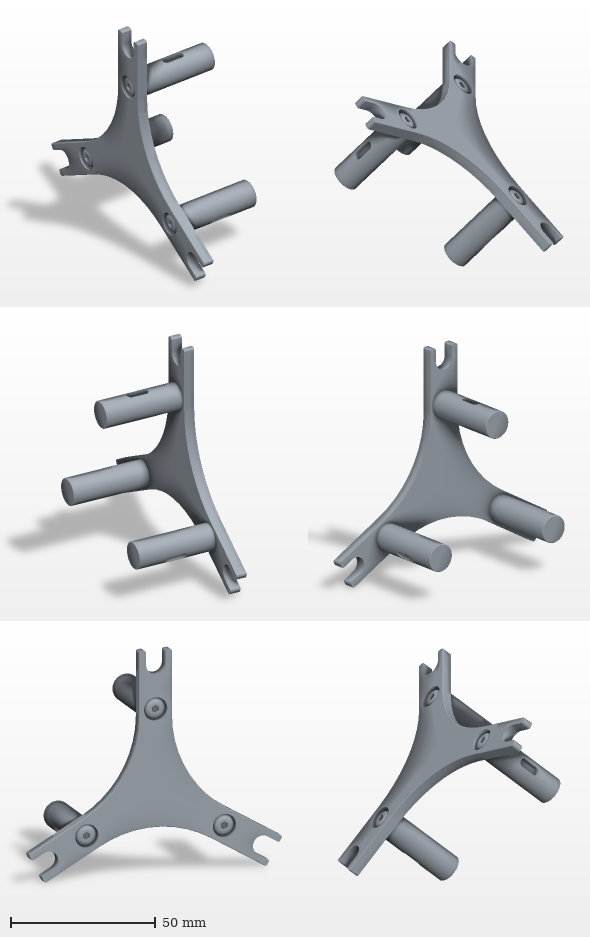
import cadquery as cq
import math

ARM_COUNT = 3
ARM_REACH = 50.0
ARM_WIDTH = 12.0
PLATE_THICKNESS = 4.0
WEB_RADIUS = 40.0
TIP_CHAMFER = 0.5
EDGE_CHAMFER = 0.2

NOTCH_WIDTH = 7.0
NOTCH_CENTRE_DEPTH = 5.0

MOUNT_RADIUS = 29.0
OVERALL_DEPTH = 33.6
POST_DIAMETER = 10.0
POST_LENGTH = OVERALL_DEPTH - PLATE_THICKNESS
POST_CHAMFER = 0.2
POST_SLOT_WIDTH = 3.0
POST_SLOT_LENGTH = 8.4
POST_SLOT_CENTRE = 15.2
POST_SLOT_DEPTH = 2.0

HEAD_DIAMETER = 7.6
HEAD_HEIGHT = 2.2
HEAD_ROUNDING = 1.9
SOCKET_ACROSS_FLATS = 2.5
SOCKET_DEPTH = 1.3
SHANK_DIAMETER = 4.0
SHANK_LENGTH = 10.0
COUNTERBORE_DIAMETER = 8.5
COUNTERBORE_DEPTH = 2.5
CLEARANCE_DIAMETER = 4.5

ARM_ANGLES = [360 / ARM_COUNT * i for i in range(ARM_COUNT)]


def at_arm(shape, angle):
    """Turn a shape built on the upright arm (+Z) to another arm."""
    return shape.rotate((0, 0, 0), (0, 1, 0), angle)


def cylinder_y(diameter, start, length):
    """Cylinder along +Y on the mounting axis of the upright arm."""
    return cq.Workplane("XZ", origin=(0, start, MOUNT_RADIUS)).circle(diameter / 2).extrude(-length)


def polar_point(radius, degrees):
    """Point in the XZ plane, with the angle measured from +X towards +Z."""
    return (radius * math.cos(math.radians(degrees)), radius * math.sin(math.radians(degrees)))


def arm_point(along, across, axis_degrees):
    """Point given along an arm's axis and to the left of it."""
    distance = math.hypot(along, across)
    return polar_point(distance, axis_degrees + math.degrees(math.atan2(across, along)))


def centre_distance(edge):
    """Distance from the Y axis to the middle of an edge."""
    middle = edge.Center()
    return math.hypot(middle.x, middle.z)


def plate_blank():
    """Arms joined by tangent arcs, with square tips and chamfered front edges along their sides."""
    half_width = ARM_WIDTH / 2
    half_step = math.pi / ARM_COUNT
    arc_centre = (half_width + WEB_RADIUS) / math.sin(half_step)
    arc_start = (half_width + WEB_RADIUS) / math.tan(half_step)
    arc_middle = arc_centre - WEB_RADIUS

    axes = [90 + angle for angle in ARM_ANGLES]
    outline = cq.Workplane("XZ").moveTo(*arm_point(arc_start, -half_width, axes[0]))
    for axis in axes:
        next_axis = axis + 360 / ARM_COUNT
        outline = (
            outline.lineTo(*arm_point(ARM_REACH, -half_width, axis))
            .lineTo(*arm_point(ARM_REACH, half_width, axis))
            .lineTo(*arm_point(arc_start, half_width, axis))
            .threePointArc(
                polar_point(arc_middle, axis + 180 / ARM_COUNT),
                arm_point(arc_start, -half_width, next_axis),
            )
        )
    blank = outline.close().extrude(-PLATE_THICKNESS)
    sides = blank.faces("<Y").edges().filter(lambda edge: centre_distance(edge) < ARM_REACH - EDGE_CHAMFER)
    return sides.chamfer(EDGE_CHAMFER)


def tip_notch():
    """Round-ended notch, open at the arm tip and cut through the plate."""
    centre_height = ARM_REACH - NOTCH_CENTRE_DEPTH
    round_end = cq.Workplane("XZ").center(0, centre_height).circle(NOTCH_WIDTH / 2).extrude(-PLATE_THICKNESS)
    mouth = cq.Workplane("XZ").center(0, centre_height + NOTCH_CENTRE_DEPTH / 2).rect(
        NOTCH_WIDTH, NOTCH_CENTRE_DEPTH
    )
    return round_end.union(mouth.extrude(-PLATE_THICKNESS))


def make_plate():
    screw_hole = cylinder_y(CLEARANCE_DIAMETER, 0, PLATE_THICKNESS)
    counterbore = cylinder_y(COUNTERBORE_DIAMETER, 0, COUNTERBORE_DEPTH)
    plate = plate_blank()
    for angle in ARM_ANGLES:
        for cutter in (tip_notch(), screw_hole, counterbore):
            plate = plate.cut(at_arm(cutter, angle))
    prong_corners = plate.edges("|Y").filter(lambda edge: centre_distance(edge) > ARM_REACH)
    return prong_corners.chamfer(TIP_CHAMFER)


def make_post():
    """Post with a blind screw hole and a flat-bottomed slot facing away from the plate centre."""
    post = cylinder_y(POST_DIAMETER, PLATE_THICKNESS, POST_LENGTH).edges("%CIRCLE").chamfer(POST_CHAMFER)
    slot = (
        cq.Workplane("XY", origin=(0, PLATE_THICKNESS + POST_SLOT_CENTRE, MOUNT_RADIUS + POST_DIAMETER / 2))
        .slot2D(POST_SLOT_LENGTH, POST_SLOT_WIDTH, 90)
        .extrude(-POST_SLOT_DEPTH)
    )
    screw_hole = cylinder_y(SHANK_DIAMETER, COUNTERBORE_DEPTH, SHANK_LENGTH)
    return post.cut(slot).cut(screw_hole)


def make_screw():
    """Screw with a rounded button head, a hexagonal socket and a plain shank."""
    seat = COUNTERBORE_DEPTH
    top = seat - HEAD_HEIGHT
    head = cylinder_y(HEAD_DIAMETER, top, HEAD_HEIGHT).faces("<Y").edges().fillet(HEAD_ROUNDING)
    socket = (
        cq.Workplane("XZ", origin=(0, top, MOUNT_RADIUS))
        .polygon(6, SOCKET_ACROSS_FLATS, circumscribed=True)
        .extrude(-SOCKET_DEPTH)
    )
    shank = cylinder_y(SHANK_DIAMETER, seat, SHANK_LENGTH)
    return head.union(shank).cut(socket)


plate = make_plate()
posts = [at_arm(make_post(), angle) for angle in ARM_ANGLES]
screws = [at_arm(make_screw(), angle) for angle in ARM_ANGLES]

result = cq.Compound.makeCompound(
    [plate.val(), *[post.val() for post in posts], *[screw.val() for screw in screws]]
)